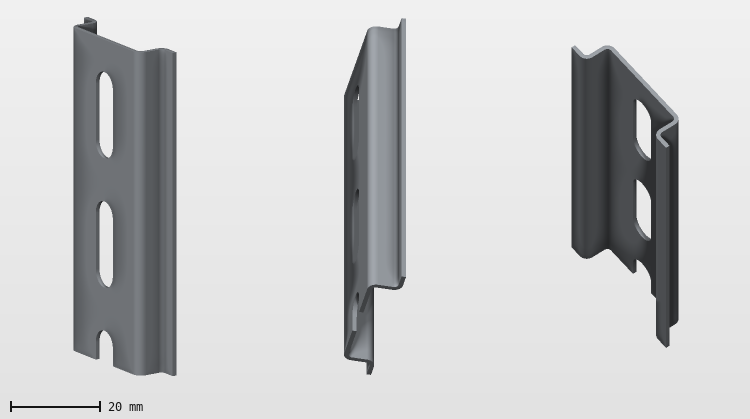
import cadquery as cq

rail_width = 35.0
rail_depth = 7.5
rail_length = 75.0
thickness = 1.0

channel_width = 27.0
inner_radius = 1.0
outer_radius = inner_radius + thickness

slot_width = 6.7
slot_length = 20.0
slot_pitch = 30.0
slot_count = 3
top_margin = 7.5


def make_rail():
    """Extrude the bent strip: web at Y = 0, flanges at the +Y side."""
    flange_tip = rail_width / 2
    wall_outside = channel_width / 2
    wall_inside = wall_outside - thickness
    flange_front = rail_depth - thickness

    web_bend_x = wall_outside - outer_radius
    web_bend_y = outer_radius
    flange_bend_x = wall_inside + outer_radius
    flange_bend_y = rail_depth - outer_radius

    half_section = (
        cq.Workplane("XY")
        .moveTo(0, 0)
        .lineTo(web_bend_x, 0)
        .radiusArc((wall_outside, web_bend_y), -outer_radius)
        .lineTo(wall_outside, flange_bend_y)
        .radiusArc((flange_bend_x, flange_front), inner_radius)
        .lineTo(flange_tip, flange_front)
        .lineTo(flange_tip, rail_depth)
        .lineTo(flange_bend_x, rail_depth)
        .radiusArc((wall_inside, flange_bend_y), -outer_radius)
        .lineTo(wall_inside, web_bend_y)
        .radiusArc((web_bend_x, thickness), inner_radius)
        .lineTo(0, thickness)
    )
    return half_section.mirrorY().extrude(rail_length)


def make_slots():
    """Vertical slot cutters, evenly pitched down from the rail top."""
    first_center = rail_length - top_margin - slot_length / 2
    centers = [(0, first_center - i * slot_pitch) for i in range(slot_count)]
    return (
        cq.Workplane("XZ")
        .pushPoints(centers)
        .slot2D(slot_length, slot_width, 90)
        .extrude(thickness, both=True)
    )


result = make_rail().cut(make_slots())